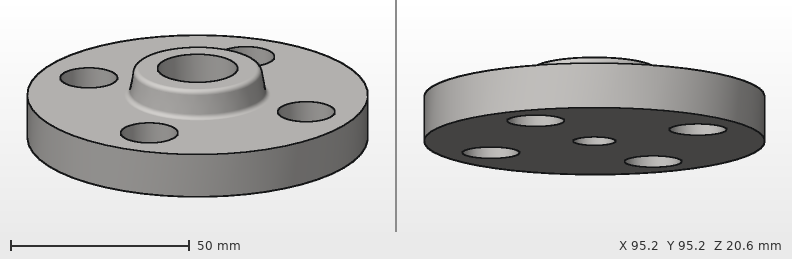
import cadquery as cq
import math

flange_diameter = 95.2
flange_thickness = 12.7
total_height = 20.6

hub_base_diameter = 38.3
hub_taper_angle = 10.0
hub_fillet = 1.5

socket_diameter = 22.4
socket_depth = 9.5
bore_diameter = 11.9

bolt_hole_count = 4
bolt_hole_diameter = 16.0
bolt_circle_diameter = 66.5


def make_flange():
    return cq.Workplane("XY").circle(flange_diameter / 2).extrude(flange_thickness)


def make_hub():
    hub_height = total_height - flange_thickness
    hub_top_radius = hub_base_diameter / 2 - hub_height * math.tan(math.radians(hub_taper_angle))
    cone = cq.Solid.makeCone(
        hub_base_diameter / 2, hub_top_radius, hub_height, pnt=cq.Vector(0, 0, flange_thickness)
    )
    return cq.Workplane(cone)


def round_hub(body):
    """Round the outer rim of the hub and the circle where it meets the flange face."""
    rounded = body.faces(">Z").edges().fillet(hub_fillet)
    flange_face = rounded.faces("+Z").faces("<Z")
    root = flange_face.edges(cq.selectors.RadiusNthSelector(0))
    return root.fillet(hub_fillet)


def cut_stepped_bore(body):
    socket = body.faces(">Z").workplane().circle(socket_diameter / 2)
    body = socket.cutBlind(-socket_depth)
    return body.cut(cq.Workplane("XY").circle(bore_diameter / 2).extrude(total_height))


def cut_bolt_holes(body):
    holes = (
        cq.Workplane("XY")
        .polarArray(bolt_circle_diameter / 2, 0, 360, bolt_hole_count)
        .circle(bolt_hole_diameter / 2)
        .extrude(flange_thickness)
    )
    return body.cut(holes)


body = make_flange().union(make_hub())
body = round_hub(body)
body = cut_stepped_bore(body)
result = cut_bolt_holes(body)